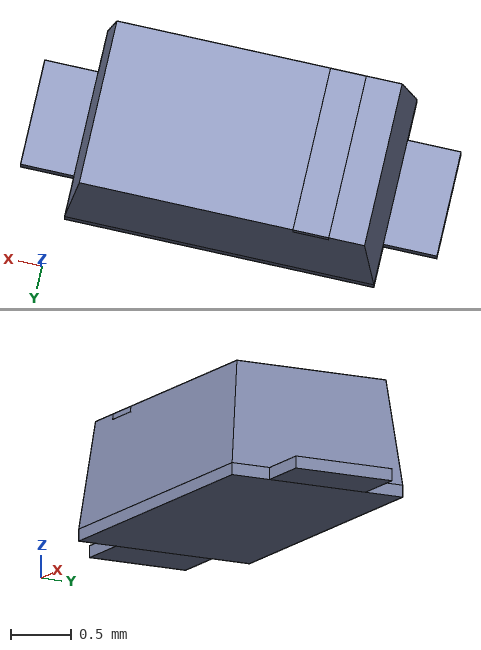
import cadquery as cq

overall_length = 3.5
body_length = 2.6
body_width = 1.6
body_height = 1.0

base_thickness = 0.1
taper_inset = 0.1
housing_height = body_height - base_thickness
top_length = body_length - 2 * taper_inset
top_width = body_width - 2 * taper_inset

lead_width = 0.9
lead_length = (overall_length - body_length) / 2

band_width = 0.3
band_depth = 0.05
band_edge_distance = 0.3
band_center_x = -top_length / 2 + band_edge_distance + band_width / 2


def make_base():
    return cq.Workplane("XY").box(
        body_length, body_width, base_thickness, centered=(True, True, False)
    )


def make_tapered_block():
    """Housing outline before the band groove is cut."""
    return (
        cq.Workplane("XY", origin=(0, 0, base_thickness))
        .rect(body_length, body_width)
        .workplane(offset=housing_height)
        .rect(top_length, top_width)
        .loft(ruled=True)
    )


def make_band(block):
    """Strip across the full width, trimmed to the sloping sides of the block."""
    strip = (
        cq.Workplane("XY", origin=(band_center_x, 0, body_height - band_depth))
        .box(band_width, body_width, band_depth, centered=(True, True, False))
    )
    return strip.intersect(block)


def make_lead(side):
    """Lead at the +X end (side = 1) or the -X end (side = -1)."""
    center_x = side * (body_length + lead_length) / 2
    return (
        cq.Workplane("XY", origin=(center_x, 0, 0))
        .box(lead_length, lead_width, base_thickness, centered=(True, True, False))
    )


base = make_base()
tapered_block = make_tapered_block()
band = make_band(tapered_block)
housing = tapered_block.cut(band)
leads = [make_lead(side) for side in (-1, 1)]

result = cq.Compound.makeCompound(
    [base.val(), *housing.solids().vals(), *band.solids().vals(), *[lead.val() for lead in leads]]
)